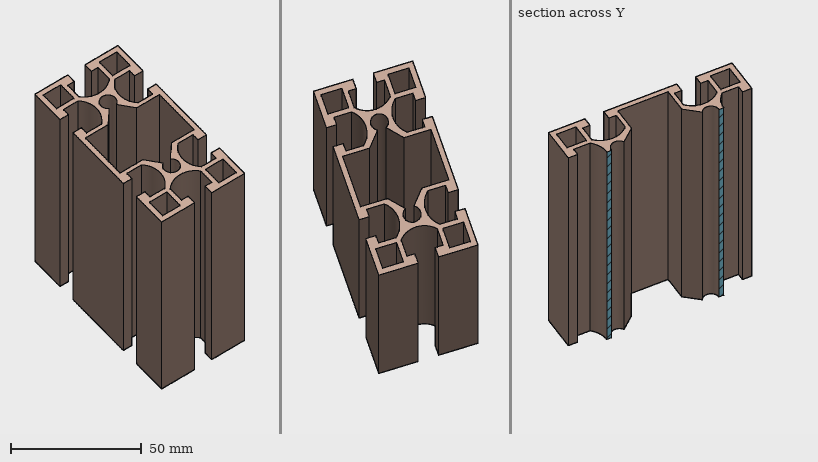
import cadquery as cq
import math

width = 80.0
depth = 40.0
length = 100.0

slot_pitch = width / 2
slot_opening = 8.2
slot_inner_width = 14.6
lip_thickness = 4.1
slot_straight_depth = 11.2
slot_full_depth = 14.5

corner_hollow = 8.4
corner_wall = 2.3

cavity_width = 21.9
cavity_wall = 2.2
cavity_shoulder = 13.8
core_radius = 3.4
throat_width = 3.4
throat_offset = math.sqrt(core_radius**2 - (throat_width / 2)**2)


def t_slot(x, y, angle):
    """Through-cutter for a slot whose mouth is centred at (x, y).

    At angle 0 the slot runs in the -Y direction from its mouth.
    """
    half_opening = slot_opening / 2
    half_inner = slot_inner_width / 2
    return (
        cq.Workplane("XY")
        .moveTo(-half_opening, 0)
        .lineTo(-half_opening, -lip_thickness)
        .lineTo(-half_inner, -lip_thickness)
        .lineTo(-half_inner, -slot_straight_depth)
        .threePointArc((0, -slot_full_depth), (half_inner, -slot_straight_depth))
        .lineTo(half_inner, -lip_thickness)
        .lineTo(half_opening, -lip_thickness)
        .lineTo(half_opening, 0)
        .close()
        .extrude(length)
        .rotate((0, 0, 0), (0, 0, 1), angle)
        .translate((x, y, 0))
    )


def central_cavity():
    """Cutter for the central cavity with its two tapered ends."""
    half_width = cavity_width / 2
    half_depth = depth / 2 - cavity_wall
    half_shoulder = cavity_shoulder / 2
    half_throat = throat_width / 2
    core_x = slot_pitch / 2
    throat_x = core_x - throat_offset
    right_half = [
        (half_width, -half_depth),
        (half_width, -half_shoulder),
        (throat_x, -half_throat),
        (throat_x, half_throat),
        (half_width, half_shoulder),
        (half_width, half_depth),
    ]
    left_half = [(-x, -y) for x, y in right_half]
    cavity = cq.Workplane("XY").polyline(right_half + left_half).close().extrude(length)
    cores = (
        cq.Workplane("XY")
        .pushPoints([(-core_x, 0), (core_x, 0)])
        .circle(core_radius)
        .extrude(length)
    )
    return cavity.union(cores)


def corner_hollows():
    """Cutters for the square hollows in the four corners."""
    inset = corner_wall + corner_hollow / 2
    return (
        cq.Workplane("XY")
        .rect(width - 2 * inset, depth - 2 * inset, forConstruction=True)
        .vertices()
        .rect(corner_hollow, corner_hollow)
        .extrude(length)
    )


profile = cq.Workplane("XY").rect(width, depth).extrude(length)
profile = profile.cut(central_cavity()).cut(corner_hollows())

for side in (-1, 1):
    slot_x = side * slot_pitch / 2
    profile = profile.cut(t_slot(slot_x, depth / 2, 0))
    profile = profile.cut(t_slot(slot_x, -depth / 2, 180))
    profile = profile.cut(t_slot(side * width / 2, 0, -90 * side))

result = profile